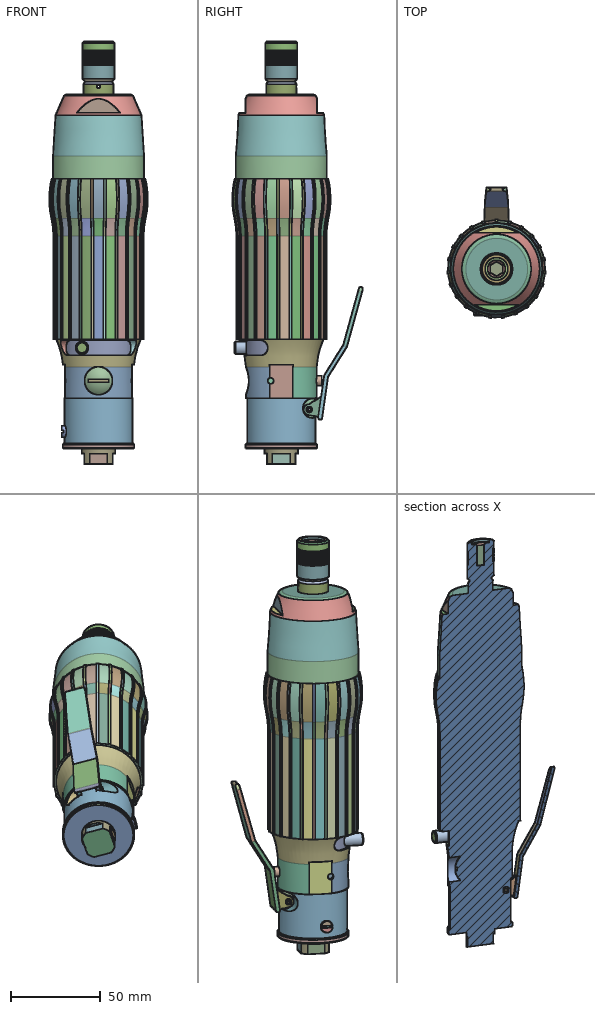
import cadquery as cq
import math

TOP = 235.0
GROOVE_TOP = 214.1
GROOVE_BOTTOM = 211.3
NOSE_TOP = 205.7
NOSE_CORNER = 204.7
NOSE_BASE = 194.0
CONE_BASE = 171.4
GRIP_TOP = 158.7
GRIP_BELLY = 148.5
GRIP_WAIST = 136.8
SLEEVE_TOP = 127.0
SLEEVE_BOTTOM = 69.3
NECK_BOTTOM = 54.0
COLLAR_BOTTOM = 36.7
FLANGE_TOP = 11.5
FLANGE_BOTTOM = 8.5
INLET_FLAT_TOP = 5.9

CHUCK_R = 9.0
CHUCK_GROOVE_R = 7.5
CHUCK_COLLAR_R = 8.5
CHUCK_CHAMFER = 1.0
NOSE_TOP_R = 17.2
NOSE_ROUND_R = 18.5
NOSE_ROUND_Z = 205.2
NOSE_CORNER_R = 19.3
NOSE_BASE_R = 24.0
HOUSING_R = 25.5
GRIP_TOP_R = 25.6
GRIP_BELLY_R = 27.0
GRIP_WAIST_R = 25.9
GRIP_HOLLOW = 0.2
SLEEVE_R = 24.7
NECK_TOP_R = 23.5
NECK_MIDDLE_R = 21.0
COLLAR_R = 19.7
TAIL_R = 19.0
FLANGE_R = 20.0
FLANGE_CHAMFER = 0.7
INLET_R = 9.5

RIB_COUNT = 23
RIB_PITCH = 360 / RIB_COUNT
RIB_HEIGHT = 0.5
RIB_WIDTH = 1.5
RIB_ROOT = 2.4

KNURL_TOP = 230.0
KNURL_BOTTOM = 222.0
KNURL_COUNT = 36
KNURL_RINGS = 5
KNURL_GROOVE = 0.59

MOUTH_R = 6.3
MOUTH_DEPTH = 1.5
SOCKET_FLATS = 7.0
SOCKET_LEAD_R = 5.0
SOCKET_LEAD_DEPTH = 1.2
SOCKET_DEPTH = 14.0
BALL_HOLE_R = 1.0
BALL_HOLE_Z = 210.0

NOSE_FLAT_Y = 20.0
NOSE_FLAT_Z = 195.3
COLLAR_FLAT_WIDTH = 13.0
COLLAR_FLAT_TOP = 55.2
INLET_FLATS = 16.0

SLOT_Z = 64.6
SLOT_HEIGHT = 8.5
SLOT_END_Y = -7.5
SLOT_FLOOR_R = 19.5
BUTTON_X = -9.2
BUTTON_R = 3.5
BUTTON_END_Y = -26.0
BUTTON_CHAMFER = 0.7

VALVE_Z = 46.3
VALVE_R = 7.8
VALVE_POCKET_Y = -12.5
VALVE_DOME = 3.8
BLADE_SLOT_LENGTH = 11.8
BLADE_SLOT_WIDTH = 1.9
BLADE_SLOT_DEPTH = 1.9

COLLAR_HOLE_Y = -5.9
COLLAR_HOLE_R = 1.6
COLLAR_HOLE_DEPTH = 2.4
SCREW_Y = -3.3
SCREW_Z = 18.0
SCREW_R = 3.3
SCREW_END_X = -20.5
SCREW_SLOT_WIDTH = 1.2
SCREW_SLOT_DEPTH = 1.0
PLUNGER_R = 2.8
PLUNGER_END_Y = 22.5

LEVER_THICKNESS = 2.4
LEVER_TIP = (44.2, 97.3)
LEVER_BEND = (35.5, 65.8)
LEVER_KNEE = (25.0, 49.0)
LEVER_FOOT = (21.6, 25.9)
LEVER_TIP_WIDTH = 11.3
LEVER_BEND_WIDTH = 13.2
LEVER_FOOT_WIDTH = 14.5
LEVER_CORNER_R = 2.8
EAR_THICKNESS = 2.4
EAR_INSET = 0.7
EAR_OUTER_X = LEVER_FOOT_WIDTH / 2 - EAR_INSET
TONGUE_X = EAR_OUTER_X - EAR_THICKNESS
PIVOT_END_X = LEVER_FOOT_WIDTH / 2
PIVOT_Y = 15.5
PIVOT_Z = 30.3
PIVOT_R = 1.6
PIVOT_BORE_R = 0.7
EAR_R = 3.0
EAR_TOP_Y = 23.3
EAR_TOP_Z = 38.3
HINGE_CUT_R = 5.5
HINGE_CUT_Y = 17.5
HINGE_CUT_Z = 31.0


def revolved(profile):
    """Turn a closed half profile, drawn in radius and height, about the tool axis."""
    return profile.close().revolve(360, (0, 0, 0), (0, 1, 0))


def half_profile(radius, z):
    return cq.Workplane("XZ").moveTo(0, z).lineTo(radius, z)


def disc_along_x(y, z, radius, x_start, x_end):
    return cq.Workplane("YZ", origin=(x_start, 0, 0)).center(y, z).circle(radius).extrude(x_end - x_start)


def disc_along_y(x, z, radius, y_start, y_end):
    return cq.Workplane("XZ", origin=(0, y_start, 0)).center(x, z).circle(radius).extrude(y_start - y_end)


def stock_outside(width_x, width_y, z_start, z_end):
    """Stock that surrounds a rectangular core, to cut flats with."""
    outer = 4 * HOUSING_R
    height = z_end - z_start
    stock = cq.Workplane("XY", origin=(0, 0, z_start)).rect(outer, outer).extrude(height)
    core = cq.Workplane("XY", origin=(0, 0, z_start)).rect(width_x, width_y).extrude(height)
    return stock.cut(core)


def chuck_and_nose():
    profile = (
        half_profile(HOUSING_R, GRIP_TOP)
        .lineTo(HOUSING_R, CONE_BASE)
        .lineTo(NOSE_BASE_R, NOSE_BASE)
        .lineTo(NOSE_CORNER_R, NOSE_CORNER)
        .threePointArc((NOSE_ROUND_R, NOSE_ROUND_Z), (NOSE_TOP_R, NOSE_TOP))
        .lineTo(CHUCK_COLLAR_R, NOSE_TOP)
        .lineTo(CHUCK_COLLAR_R, GROOVE_BOTTOM)
        .lineTo(CHUCK_GROOVE_R, (GROOVE_BOTTOM + GROOVE_TOP) / 2)
        .lineTo(CHUCK_R, GROOVE_TOP)
        .lineTo(CHUCK_R, TOP - CHUCK_CHAMFER)
        .lineTo(CHUCK_R - CHUCK_CHAMFER, TOP)
        .lineTo(0, TOP)
    )
    return revolved(profile)


def grip(offset):
    """Grip and sleeve, made larger in radius by offset."""
    belly = (GRIP_BELLY_R + offset, GRIP_BELLY)
    waist_middle = ((GRIP_WAIST_R + SLEEVE_R) / 2 - GRIP_HOLLOW + offset, (GRIP_WAIST + SLEEVE_TOP) / 2)
    profile = (
        half_profile(SLEEVE_R + offset, SLEEVE_BOTTOM)
        .lineTo(SLEEVE_R + offset, SLEEVE_TOP)
        .threePointArc(waist_middle, (GRIP_WAIST_R + offset, GRIP_WAIST))
        .threePointArc(belly, (GRIP_TOP_R + offset, GRIP_TOP))
        .lineTo(0, GRIP_TOP)
    )
    return revolved(profile)


def ribbed_grip():
    body = grip(0)
    rib_envelope = grip(RIB_HEIGHT)
    bar_start = SLEEVE_R - RIB_ROOT
    bar_end = GRIP_BELLY_R + 2 * RIB_HEIGHT
    bar = (
        cq.Workplane("XY", origin=(0, 0, SLEEVE_BOTTOM))
        .center((bar_start + bar_end) / 2, 0)
        .rect(bar_end - bar_start, RIB_WIDTH)
        .extrude(GRIP_TOP - SLEEVE_BOTTOM)
    )
    rib = bar.intersect(rib_envelope)
    ribs = [rib.rotate((0, 0, 0), (0, 0, 1), 90 + i * RIB_PITCH).val() for i in range(RIB_COUNT)]
    return cq.Workplane(body.val().fuse(*ribs))


def neck_and_tail():
    profile = (
        half_profile(INLET_R, 0)
        .lineTo(INLET_R, FLANGE_BOTTOM)
        .lineTo(FLANGE_R - FLANGE_CHAMFER, FLANGE_BOTTOM)
        .lineTo(FLANGE_R, FLANGE_BOTTOM + FLANGE_CHAMFER)
        .lineTo(FLANGE_R, FLANGE_TOP - FLANGE_CHAMFER)
        .lineTo(FLANGE_R - FLANGE_CHAMFER, FLANGE_TOP)
        .lineTo(TAIL_R, FLANGE_TOP)
        .lineTo(TAIL_R, COLLAR_BOTTOM)
        .lineTo(COLLAR_R, COLLAR_BOTTOM)
        .lineTo(COLLAR_R, NECK_BOTTOM)
        .threePointArc((NECK_MIDDLE_R, (NECK_BOTTOM + SLEEVE_BOTTOM) / 2), (NECK_TOP_R, SLEEVE_BOTTOM))
        .lineTo(0, SLEEVE_BOTTOM)
    )
    return revolved(profile)


def nose_flats():
    return stock_outside(3 * HOUSING_R, 2 * NOSE_FLAT_Y, NOSE_FLAT_Z, NOSE_TOP)


def knurl_grooves():
    """Upright and ring grooves, as a list of solids that cross each other."""
    height = KNURL_TOP - KNURL_BOTTOM
    upright = (
        cq.Workplane("XY", origin=(CHUCK_R, 0, KNURL_BOTTOM))
        .rect(2 * KNURL_GROOVE, KNURL_GROOVE)
        .extrude(height)
    )
    ring = (
        cq.Workplane("XY", origin=(0, 0, KNURL_BOTTOM))
        .circle(CHUCK_R + KNURL_GROOVE)
        .circle(CHUCK_R - KNURL_GROOVE)
        .extrude(KNURL_GROOVE)
    )
    ring_step = height / KNURL_RINGS
    first_ring = (ring_step - KNURL_GROOVE) / 2
    uprights = [upright.rotate((0, 0, 0), (0, 0, 1), i * 360 / KNURL_COUNT).val() for i in range(KNURL_COUNT)]
    rings = [ring.translate((0, 0, first_ring + i * ring_step)).val() for i in range(KNURL_RINGS)]
    return uprights + rings


def bit_socket():
    mouth = cq.Workplane("XY", origin=(0, 0, TOP)).circle(MOUTH_R).extrude(-MOUTH_DEPTH)
    lead = (
        cq.Workplane("XY", origin=(0, 0, TOP - MOUTH_DEPTH))
        .circle(SOCKET_LEAD_R)
        .workplane(offset=-SOCKET_LEAD_DEPTH)
        .circle(SOCKET_FLATS / 2)
        .loft()
    )
    hexagon = (
        cq.Workplane("XY", origin=(0, 0, TOP))
        .transformed(rotate=(0, 0, 30))
        .polygon(6, SOCKET_FLATS / math.cos(math.pi / 6))
        .extrude(-SOCKET_DEPTH)
    )
    return mouth.union(lead).union(hexagon)


def neck_slot():
    """Slot with round ends, sunk from the -Y side to a round floor."""
    reach = 2 * HOUSING_R
    end_y = SLOT_END_Y - SLOT_HEIGHT / 2
    round_end = disc_along_x(end_y, SLOT_Z, SLOT_HEIGHT / 2, -reach / 2, reach / 2)
    band = cq.Workplane("XY", origin=(0, end_y - reach / 2, SLOT_Z)).box(reach, reach, SLOT_HEIGHT)
    floor = (
        cq.Workplane("XY", origin=(0, 0, SLOT_Z - SLOT_HEIGHT)).circle(SLOT_FLOOR_R).extrude(2 * SLOT_HEIGHT)
    )
    return band.union(round_end).cut(floor)


def slot_button():
    button = disc_along_y(BUTTON_X, SLOT_Z, BUTTON_R, 0, BUTTON_END_Y)
    return button.faces("<Y").chamfer(BUTTON_CHAMFER)


def reversing_valve():
    """Dome with a blade slot, to stand in the valve pocket."""
    dome_top_y = VALVE_POCKET_Y - VALVE_DOME
    sphere_r = (VALVE_R**2 + VALVE_DOME**2) / (2 * VALVE_DOME)
    sphere = cq.Workplane("XY").sphere(sphere_r).translate((0, dome_top_y + sphere_r, VALVE_Z))
    dome = sphere.intersect(disc_along_y(0, VALVE_Z, VALVE_R, VALVE_POCKET_Y, dome_top_y))
    blade_slot = cq.Workplane("XY", origin=(0, dome_top_y, VALVE_Z)).box(
        BLADE_SLOT_LENGTH, 2 * BLADE_SLOT_DEPTH, BLADE_SLOT_WIDTH
    )
    return dome.cut(blade_slot)


def collar_flats():
    flat_x = math.sqrt(COLLAR_R**2 - (COLLAR_FLAT_WIDTH / 2) ** 2)
    return stock_outside(2 * flat_x, 3 * HOUSING_R, COLLAR_BOTTOM, COLLAR_FLAT_TOP)


def collar_holes():
    reach = math.sqrt(COLLAR_R**2 - COLLAR_HOLE_Y**2)
    rod = disc_along_x(COLLAR_HOLE_Y, VALVE_Z, COLLAR_HOLE_R, -COLLAR_R, COLLAR_R)
    kept = disc_along_x(
        COLLAR_HOLE_Y, VALVE_Z, COLLAR_HOLE_R, COLLAR_HOLE_DEPTH - reach, reach - COLLAR_HOLE_DEPTH
    )
    return rod.cut(kept)


def inlet_flats():
    return stock_outside(INLET_FLATS, INLET_FLATS, 0, INLET_FLAT_TOP)


def tail_screw():
    head = disc_along_x(SCREW_Y, SCREW_Z, SCREW_R, SCREW_END_X, 0)
    slot = cq.Workplane("XY", origin=(SCREW_END_X, SCREW_Y, SCREW_Z)).box(
        2 * SCREW_SLOT_DEPTH, 3 * SCREW_R, SCREW_SLOT_WIDTH
    )
    return head.cut(slot)


def hinge_cuts():
    """Round reliefs beside the hinge tongue, and the pivot hole through it."""
    cuts = disc_along_x(PIVOT_Y, PIVOT_Z, PIVOT_R, -PIVOT_END_X, PIVOT_END_X)
    for side in (-1, 1):
        cuts = cuts.union(disc_along_x(HINGE_CUT_Y, HINGE_CUT_Z, HINGE_CUT_R, side * TONGUE_X, side * TAIL_R))
    return cuts


def make_tool():
    nose = chuck_and_nose().cut(nose_flats()).cut(bit_socket())
    nose = nose.cut(disc_along_y(0, BALL_HOLE_Z, BALL_HOLE_R, CHUCK_R, -CHUCK_R))
    nose = cq.Workplane(nose.val().cut(*knurl_grooves()))

    tail = neck_and_tail().cut(neck_slot()).union(slot_button())
    tail = tail.cut(disc_along_y(0, VALVE_Z, VALVE_R, VALVE_POCKET_Y, -HOUSING_R)).union(reversing_valve())
    tail = tail.cut(collar_flats()).cut(collar_holes()).cut(inlet_flats())
    tail = tail.union(tail_screw())
    tail = tail.union(disc_along_y(0, VALVE_Z, PLUNGER_R, PLUNGER_END_Y, 0))
    tail = tail.cut(hinge_cuts())

    return tail.union(ribbed_grip()).union(nose)


def lever_plate():
    strip = (
        cq.Workplane("YZ", origin=(-LEVER_FOOT_WIDTH / 2, 0, 0))
        .polyline([LEVER_TIP, LEVER_BEND, LEVER_KNEE, LEVER_FOOT])
        .wire()
        .offset2D(LEVER_THICKNESS / 2)
        .extrude(LEVER_FOOT_WIDTH)
    )
    tip_z = LEVER_TIP[1] + LEVER_THICKNESS / 2
    foot_z = LEVER_FOOT[1] - LEVER_THICKNESS
    outline = [
        (-LEVER_FOOT_WIDTH / 2, foot_z),
        (-LEVER_BEND_WIDTH / 2, LEVER_BEND[1]),
        (-LEVER_TIP_WIDTH / 2, tip_z),
        (LEVER_TIP_WIDTH / 2, tip_z),
        (LEVER_BEND_WIDTH / 2, LEVER_BEND[1]),
        (LEVER_FOOT_WIDTH / 2, foot_z),
    ]
    face = cq.Workplane("XZ").polyline(outline).close().extrude(-2 * LEVER_TIP[0])
    face = face.edges("|Y").edges(">Z").fillet(LEVER_CORNER_R)
    return strip.intersect(face)


def lever_ear(side):
    back_y = LEVER_FOOT[0]
    return (
        cq.Workplane("YZ", origin=(side * TONGUE_X, 0, 0))
        .moveTo(back_y, LEVER_FOOT[1])
        .lineTo(PIVOT_Y, PIVOT_Z - EAR_R)
        .threePointArc((PIVOT_Y - EAR_R, PIVOT_Z), (PIVOT_Y, PIVOT_Z + EAR_R))
        .lineTo(EAR_TOP_Y, EAR_TOP_Z)
        .close()
        .extrude(side * EAR_THICKNESS)
    )


def make_lever():
    lever = lever_plate().union(lever_ear(-1)).union(lever_ear(1))
    lever = lever.union(disc_along_x(PIVOT_Y, PIVOT_Z, PIVOT_R, -PIVOT_END_X, PIVOT_END_X))
    return lever.cut(disc_along_x(PIVOT_Y, PIVOT_Z, PIVOT_BORE_R, -PIVOT_END_X, PIVOT_END_X))


tool = make_tool()
lever = make_lever()
result = cq.Compound.makeCompound([tool.val(), lever.val()])